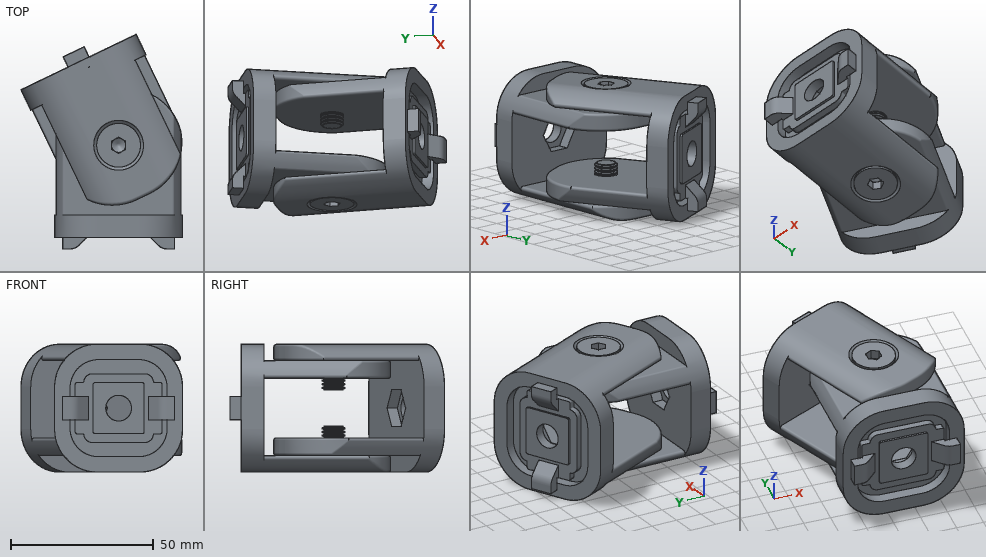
import cadquery as cq
import math

SWING_ANGLE = 25.7

HALF_WIDTH = 22.5
SECTION_RADIUS = 15.0
FACE_DISTANCE = 32.5
PLATE_THICKNESS = 8.0

CONTACT_HEIGHT = 16.7
INNER_ARM_BOTTOM = 10.4
ARM_END_RADIUS = 20.0
ARM_EDGE_FILLET = 0.9

RECESS_INSET = 5.45
RECESS_CORNER_RADIUS = 10.0
RECESS_DEPTH = 4.0
NUT_WIDTH = 13.0

INSERT_LENGTH = 30.5
INSERT_END_WIDTH = 18.1
INSERT_MIDDLE_LENGTH = 24.5
INSERT_MIDDLE_WIDTH = 24.2
INSERT_PLATE_THICKNESS = 2.4
MIDDLE_CORNER_RADIUS = 3.0
INSERT_END_CORNER_RADIUS = 0.75
INSERT_STEP_FILLET = 0.4
BLOCK_SIZE = 18.0
BLOCK_CORNER_RADIUS = 0.75
PAD_HEIGHT = 0.75
BOLT_HOLE_RADIUS = 4.5
LUG_REACH = 19.7
LUG_WIDTH = 8.2
LUG_HEIGHT = 4.0
LUG_TOP_LENGTH = 2.8
LUG_ROUND_RADIUS = 4.0
LUG_SLOPE = 45

SCREW_RADIUS = 4.0
THREAD_ROOT_RADIUS = 3.3
THREAD_PITCH = 1.3
THREAD_CREST_WIDTH = 0.3
THREAD_FLANK_HEIGHT = 0.3
SCREW_END_HEIGHT = 6.35
TIP_LENGTH = 0.3
HEAD_RADIUS = 7.7
HEAD_SINK = 0.15
COUNTERSINK_RADIUS = 8.8
SOCKET_WIDTH = 5.0
SOCKET_DEPTH = 3.5
DRILL_POINT_SLOPE = 30

TOLERANCE = 0.1

INNER_FACE_DISTANCE = FACE_DISTANCE - PLATE_THICKNESS
RECESS_FLOOR = FACE_DISTANCE - RECESS_DEPTH
CONE_END_HEIGHT = HALF_WIDTH - (COUNTERSINK_RADIUS - SCREW_RADIUS)


def hexagon_diameter(across_flats):
    return across_flats / math.cos(math.radians(30))


def is_flat_border(edge):
    """True for the lines along the arm where its flat outer side runs into the round corners."""
    along_arm = edge.geomType() == "LINE" and abs(edge.tangentAt(0).y) > 0.9
    return along_arm and abs(abs(edge.Center().z) - HALF_WIDTH) < TOLERANCE


def rounded_square_bar(inset, corner_radius, start, end):
    """Rounded square bar, inset from the housing section, between two distances along -Y."""
    width = 2 * (HALF_WIDTH - inset)
    return (
        cq.Workplane("XZ", origin=(0, -start, 0))
        .rect(width, width)
        .extrude(end - start)
        .edges("|Y")
        .fillet(corner_radius)
    )


def arm(bottom, top):
    """Slab of the housing section with a rounded free end and rounded edges."""
    reach = ARM_END_RADIUS
    length = INNER_FACE_DISTANCE + reach
    plan = (
        cq.Workplane("XY", origin=(0, (reach - INNER_FACE_DISTANCE) / 2, bottom))
        .rect(2 * HALF_WIDTH, length)
        .extrude(top - bottom)
        .edges("|Z and >Y")
        .fillet(reach)
    )
    slab = rounded_square_bar(0, SECTION_RADIUS, -reach, INNER_FACE_DISTANCE).intersect(plan)
    outline = [edge for edge in slab.edges("not(|Z or <Y)").vals() if not is_flat_border(edge)]
    return slab.newObject(outline).fillet(ARM_EDGE_FILLET)


def cylinder(radius, bottom, top):
    return cq.Workplane("XY", origin=(0, 0, bottom)).circle(radius).extrude(top - bottom)


def cut_end_plate(body):
    """Front recess for the insert, and the nut pocket through the recess floor."""
    recess = rounded_square_bar(RECESS_INSET, RECESS_CORNER_RADIUS, RECESS_FLOOR, FACE_DISTANCE)
    nut_pocket = (
        cq.Workplane("XZ", origin=(0, -INNER_FACE_DISTANCE, 0))
        .polygon(6, hexagon_diameter(NUT_WIDTH))
        .extrude(PLATE_THICKNESS)
    )
    return body.cut(recess).cut(nut_pocket)


def cut_pivot_holes(body):
    """Straight hole through both arms, with a 90 degree countersink in the outer arm."""
    hole = cylinder(SCREW_RADIUS, -HALF_WIDTH, HALF_WIDTH)
    countersink = (
        cq.Workplane("XZ")
        .polyline([
            (0, -HALF_WIDTH),
            (COUNTERSINK_RADIUS, -HALF_WIDTH),
            (SCREW_RADIUS, -CONE_END_HEIGHT),
            (0, -CONE_END_HEIGHT),
        ])
        .close()
        .revolve(360, (0, 0, 0), (0, 1, 0))
    )
    return body.cut(hole).cut(countersink)


def make_housing():
    """Housing pointing along -Y, with its outer arm at the bottom and its inner arm on top."""
    body = rounded_square_bar(0, SECTION_RADIUS, INNER_FACE_DISTANCE, FACE_DISTANCE)
    body = body.union(arm(INNER_ARM_BOTTOM, CONTACT_HEIGHT))
    body = body.union(arm(-HALF_WIDTH, -CONTACT_HEIGHT))
    return cut_pivot_holes(cut_end_plate(body))


def lug_profile():
    """Side outline of the lug on the +X side, x outward and y away from the end plate."""
    slope = math.radians(LUG_SLOPE)
    round_start = LUG_REACH - LUG_TOP_LENGTH
    round_end = round_start - LUG_ROUND_RADIUS * math.sin(slope)
    round_end_height = LUG_HEIGHT - LUG_ROUND_RADIUS * (1 - math.cos(slope))
    round_mid = (
        round_start - LUG_ROUND_RADIUS * math.sin(slope / 2),
        LUG_HEIGHT - LUG_ROUND_RADIUS * (1 - math.cos(slope / 2)),
    )
    foot = round_end - (round_end_height + PAD_HEIGHT) / math.tan(slope)
    return (
        cq.Workplane("XY", origin=(0, -FACE_DISTANCE, -LUG_WIDTH / 2))
        .moveTo(foot, PAD_HEIGHT)
        .lineTo(round_end, -round_end_height)
        .threePointArc((round_mid[0], -round_mid[1]), (round_start, -LUG_HEIGHT))
        .lineTo(LUG_REACH, -LUG_HEIGHT)
        .lineTo(LUG_REACH, 0)
        .lineTo(INSERT_LENGTH / 2, 0)
        .lineTo(INSERT_LENGTH / 2, PAD_HEIGHT)
        .close()
    )


def insert_prism(length, width, corner_radius, back, height):
    """Upright rounded rectangle, from the distance back along -Y."""
    return (
        cq.Workplane("XZ", origin=(0, -back, 0))
        .rect(length, width)
        .extrude(height)
        .edges("|Y")
        .fillet(corner_radius)
    )


def insert_plate():
    """Plate with a wider middle and filleted steps down to its narrower ends."""
    back = FACE_DISTANCE - PAD_HEIGHT - INSERT_PLATE_THICKNESS
    middle = insert_prism(
        INSERT_MIDDLE_LENGTH, INSERT_MIDDLE_WIDTH, MIDDLE_CORNER_RADIUS, back, INSERT_PLATE_THICKNESS
    )
    ends = insert_prism(
        INSERT_LENGTH, INSERT_END_WIDTH, INSERT_END_CORNER_RADIUS, back, INSERT_PLATE_THICKNESS
    )
    corner_x = INSERT_MIDDLE_LENGTH / 2 + TOLERANCE
    corner_z = INSERT_END_WIDTH / 2 + TOLERANCE
    step_corners = cq.selectors.BoxSelector(
        (-corner_x, -FACE_DISTANCE, -corner_z),
        (corner_x, -RECESS_FLOOR, corner_z),
    )
    return middle.union(ends).edges("|Y").edges(step_corners).fillet(INSERT_STEP_FILLET)


def make_insert():
    """Insert standing on the recess floor, with its lugs on the +X and -X sides."""
    block = insert_prism(BLOCK_SIZE, BLOCK_SIZE, BLOCK_CORNER_RADIUS, RECESS_FLOOR, RECESS_DEPTH)
    lug = lug_profile().extrude(LUG_WIDTH)
    bolt_hole = (
        cq.Workplane("XZ", origin=(0, -RECESS_FLOOR, 0))
        .circle(BOLT_HOLE_RADIUS)
        .extrude(RECESS_DEPTH)
    )
    return insert_plate().union(block).union(lug).union(lug.mirror("YZ")).cut(bolt_hole)


def thread_outline():
    """Radius and height points of the thread ridges, from the tip up to the contact plane."""
    points = []
    ridge = SCREW_END_HEIGHT + TIP_LENGTH
    ridge_height = THREAD_CREST_WIDTH + 2 * THREAD_FLANK_HEIGHT
    while ridge + ridge_height < CONTACT_HEIGHT:
        points.append((THREAD_ROOT_RADIUS, ridge))
        points.append((SCREW_RADIUS, ridge + THREAD_FLANK_HEIGHT))
        points.append((SCREW_RADIUS, ridge + THREAD_FLANK_HEIGHT + THREAD_CREST_WIDTH))
        points.append((THREAD_ROOT_RADIUS, ridge + ridge_height))
        ridge += THREAD_PITCH
    return points


def make_screw():
    """Countersunk screw standing along Z, head on top, with a hexagon socket."""
    head_top = HALF_WIDTH - HEAD_SINK
    cone_top = CONE_END_HEIGHT + HEAD_RADIUS - SCREW_RADIUS
    outline = [(0, SCREW_END_HEIGHT), (THREAD_ROOT_RADIUS, SCREW_END_HEIGHT)]
    outline += thread_outline()
    outline += [
        (THREAD_ROOT_RADIUS, CONTACT_HEIGHT),
        (SCREW_RADIUS, CONTACT_HEIGHT),
        (SCREW_RADIUS, CONE_END_HEIGHT),
        (HEAD_RADIUS, cone_top),
        (HEAD_RADIUS, head_top),
        (0, head_top),
    ]
    blank = cq.Workplane("XZ").polyline(outline).close().revolve(360, (0, 0, 0), (0, 1, 0))
    socket_floor = head_top - SOCKET_DEPTH
    socket = (
        cq.Workplane("XY", origin=(0, 0, socket_floor))
        .polygon(6, hexagon_diameter(SOCKET_WIDTH))
        .extrude(SOCKET_DEPTH)
        .rotate((0, 0, 0), (0, 0, 1), 90)
    )
    point_radius = SOCKET_WIDTH / 2
    point_depth = point_radius * math.tan(math.radians(DRILL_POINT_SLOPE))
    drill_point = cq.Solid.makeCone(
        0, point_radius, point_depth, pnt=cq.Vector(0, 0, socket_floor - point_depth)
    )
    return blank.cut(socket).cut(cq.Workplane(drill_point))


def to_second_housing(body):
    """Turn a body of the first half over about X and swing it about the pivot."""
    turned = body.rotate((0, 0, 0), (1, 0, 0), 180)
    return turned.rotate((0, 0, 0), (0, 0, 1), SWING_ANGLE)


housing = make_housing()
insert = make_insert()
quarter_turned_insert = insert.rotate((0, 0, 0), (0, 1, 0), 90)
screw = make_screw()

housings = [housing, to_second_housing(housing)]
inserts = [insert, to_second_housing(quarter_turned_insert)]
screws = [screw, screw.mirror("XY")]

result = cq.Compound.makeCompound([body.val() for body in housings + inserts + screws])